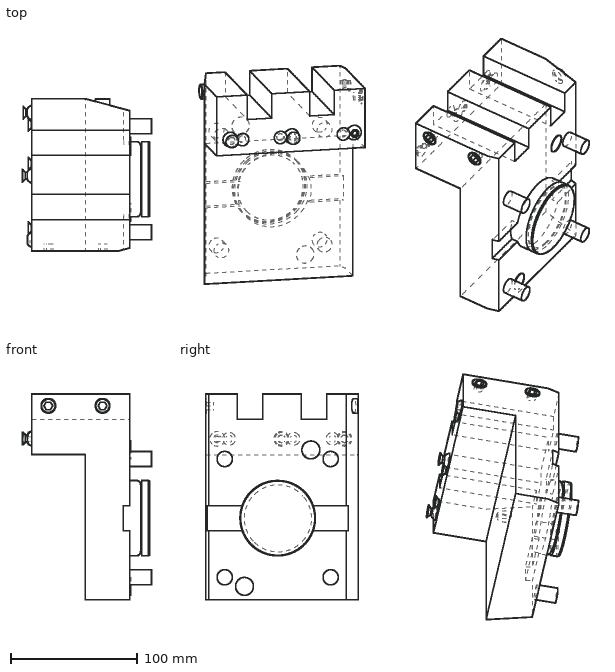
import cadquery as cq
import math

depth = 78.0
width = 121.0
height = 163.5
overhang = 42.5
overhang_height = 48.2
left_taper_start = overhang
right_taper_start = 68.7
taper_slope = math.tan(math.radians(15))

slot_width = 20.0
slot_depth = 20.0
slot_spacing = 50.8

boss_y = -3.5
boss_z = 64.9
boss_radius = 30.0
boss_length = 15.5
shoulder_length = 5.2
groove_depth = 3.3
groove_end = 9.3
boss_chamfer_length = 1.1
boss_chamfer_height = 0.5
notch_width = 20.0
notch_depth = 5.4
pin_diameter = 12.1
pin_length = 17.2
pin_offset_y = 42.0
pin_offset_z = 47.0
disc_diameter = 14.2
disc_thickness = 0.5
disc_offset_y = 26.3
disc_offset_z = 54.1

clamp_diameter = 11.6
clamp_chamfer = 0.5
clamp_hex_flats = 6.0
clamp_hex_depth = 6.0
clamp_front_x = 13.2
clamp_rear_x = 56.2
clamp_z = height - 9.5

screw_z = height - 35.5
button_radius = 5.9
button_tip_radius = 3.1
button_height = 3.5
button_hex_flats = 4.0
button_hex_depth = 2.0
cone_radius = 5.0
neck_radius = 2.8
middle_screw_reach = 7.4
side_screw_reach = 6.9
flush_screw_reach = 2.8
plain_button_y = -51.5
middle_button_y = -0.7
side_button_y = 49.4
flush_screw_ys = (-42.2, 9.0, 39.9)


def box(x_min, x_max, y_min, y_max, z_min, z_max):
    """Box between two opposite corners."""
    size = (x_max - x_min, y_max - y_min, z_max - z_min)
    return cq.Workplane("XY").box(*size, centered=False).translate((x_min, y_min, z_min))


def rod_x(x, y, z, diameter, length):
    """Cylinder starting at (x, y, z) and running along +X."""
    return cq.Workplane("YZ", origin=(x, y, z)).circle(diameter / 2).extrude(length)


def hex_corner_diameter(flats):
    """Corner-to-corner size of a hexagon with the given distance across flats."""
    return flats / math.cos(math.pi / 6)


def block():
    """L-shaped block with tapered sides at the mounting face and two slots on top."""
    left = width / 2
    right = -width / 2
    outline = [
        (0, right),
        (right_taper_start, right),
        (depth, right + (depth - right_taper_start) * taper_slope),
        (depth, left - (depth - left_taper_start) * taper_slope),
        (left_taper_start, left),
        (0, left),
    ]
    body = cq.Workplane("XY").polyline(outline).close().extrude(height)
    body = body.cut(box(0, overhang, right, left, 0, height - overhang_height))
    for slot_y in (-slot_spacing / 2, slot_spacing / 2):
        slot = box(
            0, depth,
            slot_y - slot_width / 2, slot_y + slot_width / 2,
            height - slot_depth, height,
        )
        body = body.cut(slot)
    notch = box(
        depth - notch_depth, depth,
        right, left,
        boss_z - notch_width / 2, boss_z + notch_width / 2,
    )
    return body.cut(notch)


def boss():
    """Round boss with a rounded shoulder, a groove and a chamfered rim."""
    groove_radius = boss_radius - groove_depth
    arc_reach = groove_depth * math.sin(math.pi / 4)
    profile = (
        cq.Workplane("XY")
        .moveTo(-notch_depth, 0)
        .lineTo(-notch_depth, boss_radius)
        .lineTo(shoulder_length, boss_radius)
        .threePointArc(
            (shoulder_length + arc_reach, groove_radius + arc_reach),
            (shoulder_length + groove_depth, groove_radius),
        )
        .lineTo(groove_end, groove_radius)
        .lineTo(groove_end, boss_radius)
        .lineTo(boss_length - boss_chamfer_length, boss_radius)
        .lineTo(boss_length, boss_radius - boss_chamfer_height)
        .lineTo(boss_length, 0)
        .close()
    )
    return profile.revolve(360, (0, 0, 0), (1, 0, 0)).translate((depth, boss_y, boss_z))


def mounting_parts():
    """Boss, four pins around it, and two thin discs placed diagonally."""
    parts = boss()
    for y_side in (-1, 1):
        for z_side in (-1, 1):
            pin_y = boss_y + y_side * pin_offset_y
            pin_z = boss_z + z_side * pin_offset_z
            parts = parts.union(rod_x(depth, pin_y, pin_z, pin_diameter, pin_length))
    for side in (-1, 1):
        disc_y = boss_y + side * disc_offset_y
        disc_z = boss_z + side * disc_offset_z
        parts = parts.union(rod_x(depth, disc_y, disc_z, disc_diameter, disc_thickness))
    return parts


def clamp_end_cut(x):
    """Hexagon socket and chamfer ring of a clamping screw end, on the -Y face."""
    face = cq.Workplane("XZ", origin=(x, -width / 2, clamp_z))
    socket = face.polygon(6, hex_corner_diameter(clamp_hex_flats)).extrude(-clamp_hex_depth)
    outer = clamp_diameter / 2
    ring = (
        cq.Workplane("XY")
        .polyline([(outer, 0), (outer, clamp_chamfer), (outer - clamp_chamfer, 0)])
        .close()
        .revolve(360, (0, 0, 0), (0, 1, 0))
        .translate((x, -width / 2, clamp_z))
    )
    return socket.union(ring)


def clamp_tip():
    """Chamfered tip of the rear clamping screw, standing out of the tapered +Y side."""
    tip_length = (depth - left_taper_start) * taper_slope
    return (
        cq.Workplane("XZ", origin=(clamp_rear_x, width / 2, clamp_z))
        .circle(clamp_diameter / 2)
        .extrude(tip_length)
        .faces(">Y")
        .chamfer(clamp_chamfer)
    )


def button_head(y):
    """Domed screw head on the front face, flat at its tip."""
    centre = (button_radius**2 - button_tip_radius**2 - button_height**2) / (2 * button_height)
    sphere_radius = math.hypot(button_radius, centre)
    base_angle = math.atan2(button_radius, centre)
    tip_angle = math.atan2(button_tip_radius, centre + button_height)
    mid_angle = (base_angle + tip_angle) / 2
    middle = (centre - sphere_radius * math.cos(mid_angle), sphere_radius * math.sin(mid_angle))
    return (
        cq.Workplane("XY")
        .moveTo(0, 0)
        .lineTo(0, button_radius)
        .threePointArc(middle, (-button_height, button_tip_radius))
        .lineTo(-button_height, 0)
        .close()
        .revolve(360, (0, 0, 0), (1, 0, 0))
        .translate((0, y, screw_z))
    )


def button_socket(y):
    """Hexagon socket in the tip of a button head."""
    tip = cq.Workplane("YZ", origin=(-button_height, y, screw_z))
    return tip.polygon(6, hex_corner_diameter(button_hex_flats)).extrude(button_hex_depth)


def countersunk_screw(y, reach):
    """Neck and conical head, widening outwards to its flat end at X = -reach."""
    cone_length = cone_radius - neck_radius
    outline = [
        (0, 0),
        (-reach, 0),
        (-reach, cone_radius),
        (cone_length - reach, neck_radius),
        (0, neck_radius),
    ]
    screw = cq.Workplane("XY").polyline(outline).close().revolve(360, (0, 0, 0), (1, 0, 0))
    return screw.translate((0, y, screw_z))


result = block().union(mounting_parts()).union(clamp_tip())
for clamp_x in (clamp_front_x, clamp_rear_x):
    result = result.cut(clamp_end_cut(clamp_x))

result = result.union(button_head(plain_button_y))
for screw_y, screw_reach in ((middle_button_y, middle_screw_reach), (side_button_y, side_screw_reach)):
    result = result.union(button_head(screw_y))
    result = result.union(countersunk_screw(screw_y, screw_reach))
for screw_y in flush_screw_ys:
    result = result.union(countersunk_screw(screw_y, flush_screw_reach))
result = result.cut(button_socket(plain_button_y))